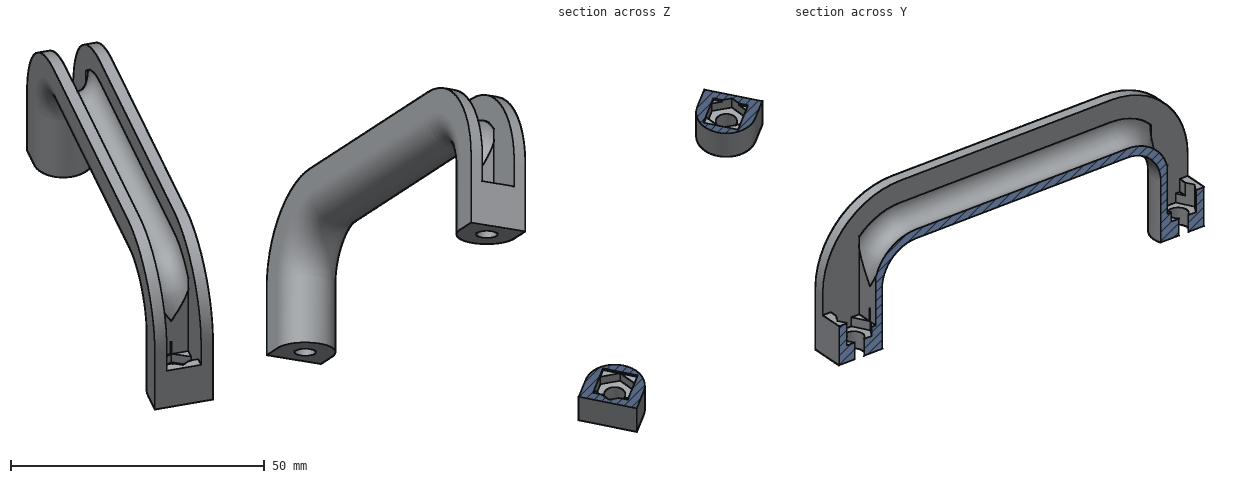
import cadquery as cq
import math

length = 90.1
width = 12.0
height = 33.1

flange_depth = 5.05
half_round_radius = width / 2
outer_bend_radius = 19.0

channel_width = 7.0
channel_round_radius = 4.0

lip_height = 9.0
lip_thickness = 2.0
pocket_floor_height = 6.0
nut_floor_height = 4.0
nut_across_flats = channel_width
screw_diameter = 4.2

leg_centre_x = length / 2 - flange_depth
pocket_inner_x = leg_centre_x - channel_round_radius
bend_centre_x = length / 2 - outer_bend_radius
bend_centre_z = height - outer_bend_radius


def u_path(offset, bottom):
    """Open U line, offset inward from the outer face, starting and ending at the bottom height."""
    side = length / 2 - offset
    top = height - offset
    radius = outer_bend_radius - offset
    diagonal = radius * math.sqrt(0.5)
    return (
        cq.Workplane("XZ")
        .moveTo(-side, bottom)
        .lineTo(-side, bend_centre_z)
        .threePointArc(
            (-bend_centre_x - diagonal, bend_centre_z + diagonal), (-bend_centre_x, top)
        )
        .lineTo(bend_centre_x, top)
        .threePointArc(
            (bend_centre_x + diagonal, bend_centre_z + diagonal), (side, bend_centre_z)
        )
        .lineTo(side, bottom)
    )


def u_plate(inner_offset, plate_width):
    """Flat U between the outer face and an inward offset, centred on Y."""
    outer = u_path(0, 0).close().extrude(plate_width / 2, both=True)
    inner = u_path(inner_offset, 0).close().extrude(plate_width / 2, both=True)
    return outer.cut(inner)


def round_bar(radius, bottom):
    """Round bar following the U, on the inner edge of the flange."""
    profile = cq.Workplane("XY", origin=(-leg_centre_x, 0, bottom)).circle(radius)
    return profile.sweep(u_path(flange_depth, bottom))


def block(x_min, x_max, block_width, z_min, z_max):
    return cq.Workplane("XY").box(
        x_max - x_min, block_width, z_max - z_min, centered=(False, True, False)
    ).translate((x_min, 0, z_min))


def leg_cutter():
    """Channel end, pocket, nut seat and screw hole of the +X leg."""
    channel_end = block(pocket_inner_x, length / 2, channel_width, lip_height, height)
    pocket = block(
        pocket_inner_x, length / 2 - lip_thickness, channel_width, pocket_floor_height, height
    )
    nut_across_corners = nut_across_flats / math.cos(math.pi / 6)
    nut_seat = (
        cq.Workplane("XY", origin=(leg_centre_x, 0, nut_floor_height))
        .polygon(6, nut_across_corners)
        .extrude(lip_height - nut_floor_height)
    )
    screw_hole = (
        cq.Workplane("XY", origin=(leg_centre_x, 0, 0))
        .circle(screw_diameter / 2)
        .extrude(lip_height)
    )
    return channel_end.union(pocket).union(nut_seat).union(screw_hole)


flange = u_plate(flange_depth, width)
outer_outline = u_path(0, 0).close().extrude(width / 2, both=True)
body = flange.union(round_bar(half_round_radius, 0).intersect(outer_outline))

channel_groove = round_bar(channel_round_radius, lip_height).cut(flange)
channel = u_plate(flange_depth, channel_width).union(channel_groove)
channel_limits = block(-pocket_inner_x, pocket_inner_x, width, bend_centre_z, height)
body = body.cut(channel.intersect(channel_limits))

right_leg = leg_cutter()
result = body.cut(right_leg).cut(right_leg.mirror("YZ"))